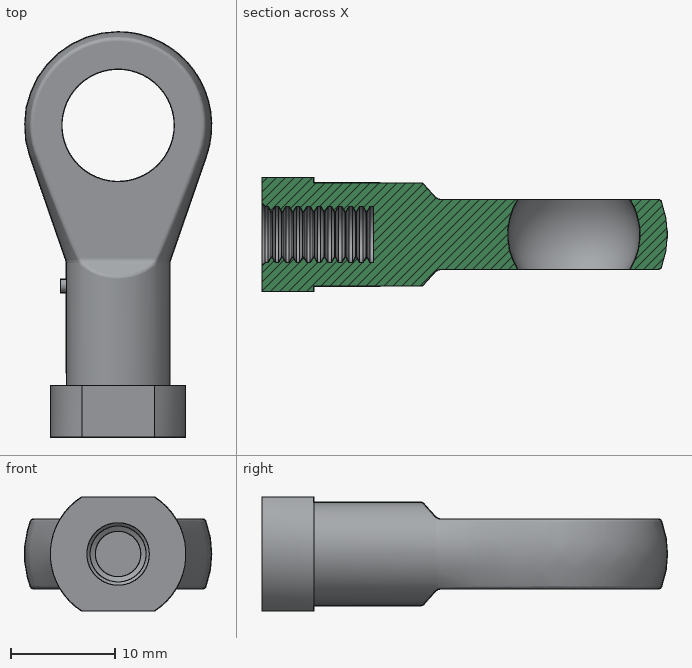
import cadquery as cq
import math


length = 39.0
eye_radius = 9.0
eye_y = length - eye_radius
eye_thickness = 6.75
seat_radius = 6.35

shank_radius = 5.0
neck_y = 16.9
ramp_angle = 48.0
collar_radius = 6.5
collar_length = 5.0
across_flats = 11.0

edge_fillet = 0.4
corner_fillet = 0.78

pin_radius = 0.65
pin_y = 14.55
pin_reach = 5.55

thread_pitch = 1.0
thread_minor_radius = 2.2
thread_major_radius = 2.7
entry_radius = 3.0
thread_count = 10
first_ridge_y = 0.6
crest_width = 0.1
flank_angle = 30.0
ridge_height = thread_major_radius - thread_minor_radius
flank_width = ridge_height * math.tan(math.radians(flank_angle))


def make_body():
    """Ball, tangent cone and cylinder turned around Y."""
    neck_drop = eye_y - neck_y
    neck_distance = math.hypot(neck_drop, shank_radius)
    tangent_angle = math.atan2(shank_radius, neck_drop) + math.acos(eye_radius / neck_distance)
    arc_middle_angle = (tangent_angle + math.pi) / 2

    def on_ball(angle):
        return eye_radius * math.sin(angle), eye_y - eye_radius * math.cos(angle)

    turned = (
        cq.Workplane("XY")
        .lineTo(shank_radius, 0)
        .lineTo(shank_radius, neck_y)
        .lineTo(*on_ball(tangent_angle))
        .threePointArc(on_ball(arc_middle_angle), (0, length))
        .close()
        .revolve(360, (0, 0, 0), (0, 1, 0))
    )
    neck_corner = cq.selectors.NearestToPointSelector((shank_radius, neck_y, 0))
    return turned.edges("%CIRCLE").edges(neck_corner).fillet(corner_fillet)


def make_flat_cutter():
    """Block that flattens the top of the eye and ends in a ramp up to the shank."""
    half = eye_thickness / 2
    top = 2 * eye_radius
    far_y = length + eye_radius
    ramp_run = (top - half) / math.tan(math.radians(ramp_angle))
    cutter = (
        cq.Workplane("YZ")
        .moveTo(neck_y, half)
        .lineTo(far_y, half)
        .lineTo(far_y, top)
        .lineTo(neck_y - ramp_run, top)
        .close()
        .extrude(top, both=True)
    )
    ramp_foot = cq.selectors.NearestToPointSelector((0, neck_y, half))
    return cutter.edges(ramp_foot).fillet(corner_fillet)


def make_collar():
    """Round collar with two flats."""
    collar = cq.Workplane("XZ").circle(collar_radius).extrude(-collar_length)
    flats = cq.Workplane("XZ").rect(2 * collar_radius, across_flats).extrude(-collar_length)
    return collar.intersect(flats)


def make_pin():
    return cq.Workplane("YZ").center(pin_y, 0).circle(pin_radius).extrude(-pin_reach)


def make_bore():
    """Chamfered blind hole with evenly spaced ridges."""
    chamfer = entry_radius - thread_major_radius
    profile = (
        cq.Workplane("XY")
        .lineTo(entry_radius, 0)
        .lineTo(thread_major_radius, chamfer)
    )
    for index in range(thread_count):
        ridge_y = first_ridge_y + index * thread_pitch
        crest_y = ridge_y + flank_width
        profile = (
            profile
            .lineTo(thread_major_radius, ridge_y)
            .lineTo(thread_minor_radius, crest_y)
            .lineTo(thread_minor_radius, crest_y + crest_width)
            .lineTo(thread_major_radius, crest_y + crest_width + flank_width)
        )
    bore_depth = first_ridge_y + thread_count * thread_pitch
    return (
        profile
        .lineTo(thread_major_radius, bore_depth)
        .lineTo(0, bore_depth)
        .close()
        .revolve(360, (0, 0, 0), (0, 1, 0))
    )


flat_cutter = make_flat_cutter()
body = make_body().cut(flat_cutter).cut(flat_cutter.mirror("XY"))
for flat_z in (eye_thickness / 2, -eye_thickness / 2):
    eye_tip = cq.selectors.NearestToPointSelector((0, length, flat_z))
    body = body.edges("%CIRCLE").edges(eye_tip).fillet(edge_fillet)

seat = cq.Workplane("XY").sphere(seat_radius).translate((0, eye_y, 0))

result = (
    body
    .union(make_collar())
    .union(make_pin())
    .cut(seat)
    .cut(make_bore())
)